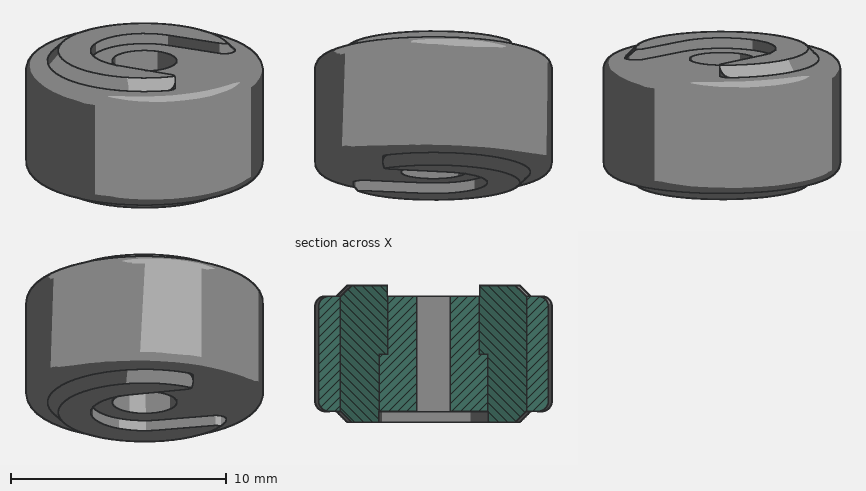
import cadquery as cq
import math

outer_diameter = 11.0
total_height = 6.35
bore_radius = 1.5
rim_fillet = 0.5

pad_height = 0.5
pad_base_radius = 4.5
slot_radius = 2.5
slot_flare_angle = 1.0
tip_fillet = 0.5

outer_radius = outer_diameter / 2
half_height = total_height / 2
roller_height = total_height - 2 * pad_height


def make_roller_blank():
    """Cylinder centred on the origin, rounded at both rims."""
    blank = cq.Workplane("XY").cylinder(roller_height, outer_radius)
    return blank.edges("%CIRCLE").fillet(rim_fillet)


def make_slot():
    """Round-ended slot that opens toward +X, with walls tangent to its round end."""
    flare = math.radians(slot_flare_angle)
    tangent_x = -slot_radius * math.sin(flare)
    tangent_y = slot_radius * math.cos(flare)
    mouth_x = outer_radius
    mouth_y = tangent_y + (mouth_x - tangent_x) * math.tan(flare)
    return (
        cq.Workplane("XY")
        .moveTo(mouth_x, mouth_y)
        .lineTo(tangent_x, tangent_y)
        .threePointArc((-slot_radius, 0), (tangent_x, -tangent_y))
        .lineTo(mouth_x, -mouth_y)
        .close()
        .extrude(half_height)
    )


def make_insert_half():
    """C-shaped column standing on Z = 0, with rounded upright tips and a 45 degree bevelled pad."""
    column = cq.Workplane("XY").circle(pad_base_radius).extrude(half_height)
    bevelled_column = column.faces(">Z").chamfer(pad_height)
    c_shape = column.cut(make_slot()).edges("|Z and >X").fillet(tip_fillet)
    return c_shape.intersect(bevelled_column)


def make_insert():
    """Upper half joined to a lower half that is the upper one turned about Y."""
    upper_half = make_insert_half()
    lower_half = upper_half.rotate((0, 0, 0), (0, 1, 0), 180)
    return upper_half.union(lower_half)


def make_roller(insert):
    """Bored roller with a cavity that matches the insert."""
    bore = cq.Workplane("XY").cylinder(roller_height, bore_radius)
    return make_roller_blank().cut(bore).cut(insert)


insert = make_insert()
roller = make_roller(insert)

result = cq.Compound.makeCompound([roller.val(), insert.val()])